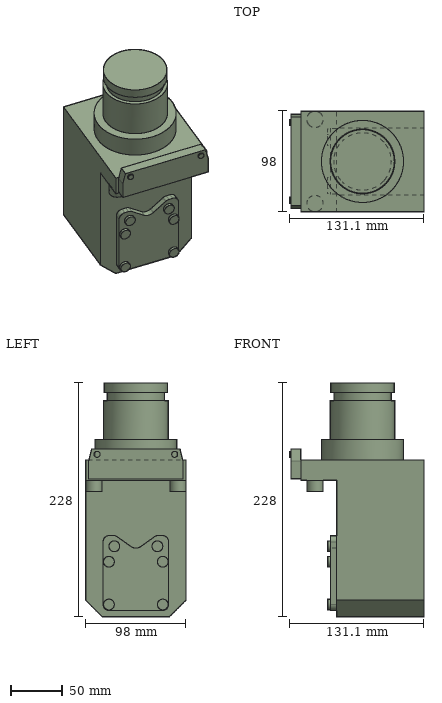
import cadquery as cq

body_length = 120.2
body_width = 98.0
body_height = 153.0
body_right_x = body_length / 2
ledge_end_x = -body_length / 2
body_face_x = -25.0
ledge_thickness = 19.8
ledge_bottom_z = body_height - ledge_thickness
bottom_chamfer = 16.5

total_height = 228.0
spindle_steps = [
    (80.0, 173.0),
    (63.2, 210.7),
    (56.0, 218.7),
    (62.0, total_height),
]

pin_diameter = 16.0
pin_length = 11.0
pin_x = -46.3
pin_y = (body_width - pin_diameter) / 2

end_plate_thickness = 9.5
end_plate_bottom_z = 134.5
end_plate_shoulder_z = 151.8
end_plate_top_z = 163.7
end_plate_half_width = 46.0
end_plate_top_half_width = 43.0
rivet_diameter = 6.0
rivet_height = 1.4
rivet_y = 37.8
rivet_z = 158.5

cover_thickness = 6.2
cover_half_width = 32.0
cover_bottom_z = 6.2
cover_top_z = 79.3
notch_half_width = 19.8
notch_bottom_z = 65.2
cover_corner_radius = 6.2
notch_radius = 8.5
screw_diameter = 10.5
screw_height = 2.7
screw_positions = [(21.0, 68.9), (26.2, 53.8), (26.2, 12.0)]


def make_body():
    profile = [
        (body_face_x, 0),
        (body_right_x, 0),
        (body_right_x, body_height),
        (ledge_end_x, body_height),
        (ledge_end_x, ledge_bottom_z),
        (body_face_x, ledge_bottom_z),
    ]
    block = cq.Workplane("XZ").polyline(profile).close().extrude(body_width / 2, both=True)
    return block.faces("<Z").edges("|X").chamfer(bottom_chamfer)


def make_spindle():
    spindle = cq.Workplane("XY")
    base_z = body_height
    for diameter, top_z in spindle_steps:
        step = cq.Workplane("XY", origin=(0, 0, base_z)).circle(diameter / 2).extrude(top_z - base_z)
        spindle = spindle.union(step)
        base_z = top_z
    return spindle


def make_pins():
    plane = cq.Workplane("XY", origin=(0, 0, ledge_bottom_z))
    centres = [(pin_x, -pin_y), (pin_x, pin_y)]
    return plane.pushPoints(centres).circle(pin_diameter / 2).extrude(-pin_length)


def side_plate(face_x, outline, thickness):
    """Plate with a (Y, Z) outline, standing out towards -X from face_x."""
    return cq.Workplane("YZ", origin=(face_x, 0, 0)).polyline(outline).close().extrude(-thickness)


def side_studs(face_x, positions, diameter, height):
    """Round heads on face_x at each (Y, Z) position and its mirror in Y."""
    points = [(side * y, z) for y, z in positions for side in (-1, 1)]
    plane = cq.Workplane("YZ", origin=(face_x, 0, 0))
    return plane.pushPoints(points).circle(diameter / 2).extrude(-height)


def make_end_plate():
    outline = [
        (-end_plate_half_width, end_plate_bottom_z),
        (end_plate_half_width, end_plate_bottom_z),
        (end_plate_half_width, end_plate_shoulder_z),
        (end_plate_top_half_width, end_plate_top_z),
        (-end_plate_top_half_width, end_plate_top_z),
        (-end_plate_half_width, end_plate_shoulder_z),
    ]
    plate = side_plate(ledge_end_x, outline, end_plate_thickness)
    outer_x = ledge_end_x - end_plate_thickness
    return plate.union(side_studs(outer_x, [(rivet_y, rivet_z)], rivet_diameter, rivet_height))


def make_cover():
    outline = [
        (-cover_half_width, cover_bottom_z),
        (cover_half_width, cover_bottom_z),
        (cover_half_width, cover_top_z),
        (notch_half_width, cover_top_z),
        (0, notch_bottom_z),
        (-notch_half_width, cover_top_z),
        (-cover_half_width, cover_top_z),
    ]
    plate = side_plate(body_face_x, outline, cover_thickness)
    notch_root = cq.selectors.NearestToPointSelector((body_face_x - cover_thickness / 2, 0, notch_bottom_z))
    thickness_edges = cq.selectors.ParallelDirSelector(cq.Vector(1, 0, 0))
    plate = plate.edges(thickness_edges - notch_root).fillet(cover_corner_radius)
    plate = plate.edges(notch_root).fillet(notch_radius)
    outer_x = body_face_x - cover_thickness
    return plate.union(side_studs(outer_x, screw_positions, screw_diameter, screw_height))


result = make_body()
for component in (make_spindle(), make_pins(), make_end_plate(), make_cover()):
    result = result.union(component)